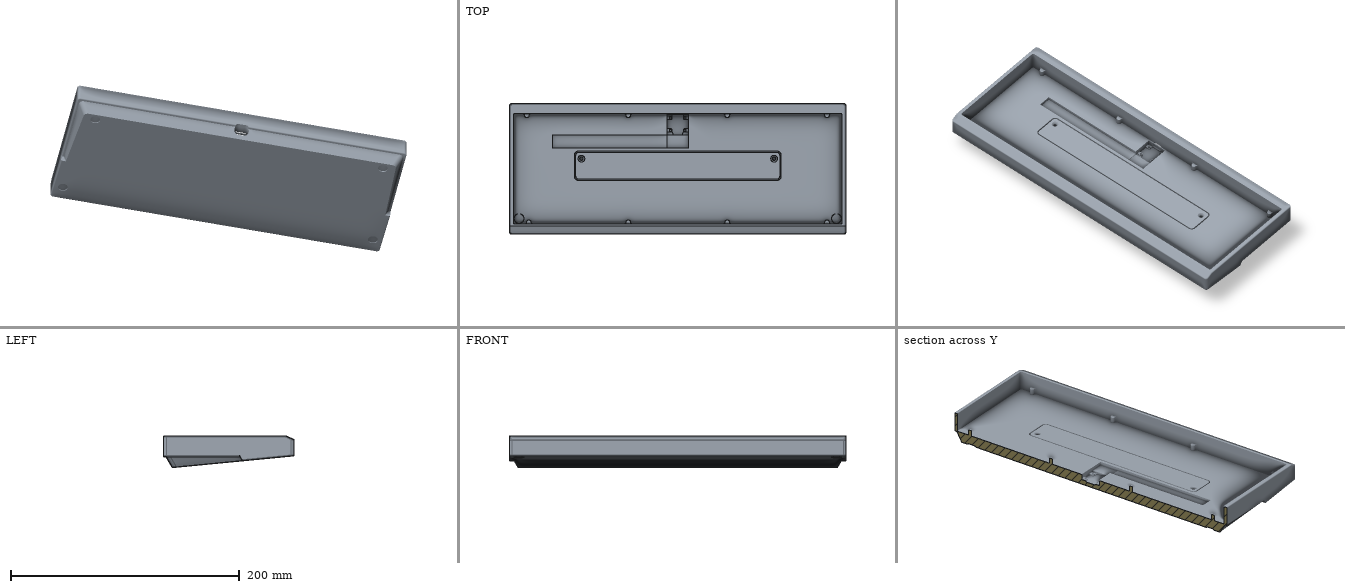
import cadquery as cq
import math


LENGTH = 294.3
WIDTH = 114.2
RIM_Z = 27.7
BACK_WALL_Z = 9.5
CORNER_RADIUS = 2.5
EDGE_RADIUS = 1.0
FRONT_BEVEL_RUN = 7.0
FRONT_BEVEL_DROP = 3.2

FOOT_TILT = 5.5
FOOT_DRAFT = 30.0
FOOT_INSET = 2.5
FOOT_CORNER_RADIUS = 4.5
UNDERCUT_FRONT_Y = -10.0
PAD_DIAMETER = 8.5
PAD_DEPTH = 1.0
PAD_Y = 43.5
FRONT_PAD_X = 138.5
BACK_PAD_X = 128.5

SIDE_WALL = 3.5
END_WALL = 8.8
CAVITY_CORNER_RADIUS = 1.5
CAVITY_DEPTH = 17.5

BOSS_RADIUS = 2.0
BOSS_FLARE = 1.5
BOSS_HEIGHT = 5.3
BACK_BOSS_XS = (-131.8, -43.3, 43.3, 130.5)
FRONT_BOSS_XS = (-130.0, -43.3, 43.3, 130.5)

POCKET_WIDTH = 18.5
POCKET_DEPTH = 6.0
POCKET_BACK_Y = 47.5
CHANNEL_LEFT_X = -109.5
CHANNEL_FRONT_Y = 18.2
CHANNEL_BACK_Y = 29.7
CHANNEL_DEPTH = 3.0
CROSSING_DEPTH = 3.5

POST_LENGTH = 4.5
POST_WIDTH = 3.0
POST_HEIGHT = 1.8
POST_HOLE_DIAMETER = 2.0
BACK_POST_Y = 44.5
FRONT_POST_Y = 33.5
LEDGE_HEIGHT = 1.0
LEDGE_FLARE = 1.0

PORT_WIDTH = 9.0
PORT_HEIGHT = 3.2
PORT_Z = 7.5
PORT_WEB = 1.0
PLUG_RECESS_WIDTH = 13.0
PLUG_RECESS_HEIGHT = 7.7

PLATE_LENGTH = 178.3
PLATE_WIDTH = 23.5
PLATE_THICKNESS = 2.0
PLATE_Y = 2.6
PLATE_RADIUS = 3.0
PLATE_GAP = 1.2
SCREW_X = 84.2
SCREW_Y = 8.8
SCREW_HOLE_DIAMETER = 3.0
SCREW_HEAD_DIAMETER = 6.0
COUNTERSINK_ANGLE = 90.0
PILOT_DEPTH = 3.0

CLEARANCE = 1.5

EDGE_TOLERANCE = 0.03

HALF_LENGTH = LENGTH / 2
HALF_WIDTH = WIDTH / 2
CAVITY_HALF_WIDTH = HALF_WIDTH - END_WALL
FOOT_BACK_Y = HALF_WIDTH - FOOT_INSET - BACK_WALL_Z * math.tan(math.radians(FOOT_DRAFT))
FLOOR_Z = RIM_Z - CAVITY_DEPTH
POCKET_FLOOR_Z = FLOOR_Z - POCKET_DEPTH
PLATE_BOTTOM_Z = FLOOR_Z - PLATE_THICKNESS
SCREW_PLACES = [(-SCREW_X, SCREW_Y), (SCREW_X, SCREW_Y)]


def bottom_z(y):
    """Height of the tilted underside at a given y."""
    return (FOOT_BACK_Y - y) * math.tan(math.radians(FOOT_TILT))


def block(x0, x1, y0, y1, z0, z1):
    """Plain box between two opposite corners."""
    return cq.Workplane("XY").box(x1 - x0, y1 - y0, z1 - z0, centered=False).translate((x0, y0, z0))


def extrude_along_x(points):
    """Solid with the given (y, z) outline, as long as the case and centred in X."""
    return cq.Workplane("YZ").polyline(points).close().extrude(HALF_LENGTH, both=True)


def make_shell():
    """Outer block with a tilted underside, a front bevel and rounded outer edges."""
    crest_y = FRONT_BEVEL_RUN - HALF_WIDTH
    bevel_z = RIM_Z - FRONT_BEVEL_DROP
    shell = extrude_along_x([
        (-HALF_WIDTH, bottom_z(-HALF_WIDTH)),
        (-HALF_WIDTH, bevel_z),
        (crest_y, RIM_Z),
        (HALF_WIDTH, RIM_Z),
        (HALF_WIDTH, bottom_z(HALF_WIDTH)),
    ])
    shell = shell.edges("|Z").fillet(CORNER_RADIUS)

    rim_zone = cq.selectors.BoxSelector(
        (-LENGTH, -WIDTH, bevel_z - CLEARANCE), (LENGTH, WIDTH, RIM_Z + CLEARANCE), boundingbox=True
    )
    outer_edges = [
        edge for edge in shell.edges(rim_zone).vals() if abs(edge.Center().y - crest_y) > EDGE_TOLERANCE
    ]
    outer_edges += shell.faces("<Y").edges("<Z").vals()
    return shell.newObject(outer_edges).fillet(EDGE_RADIUS)


def make_undercut():
    """Everything to remove below the side and back walls so that the drafted foot remains."""
    depth = BACK_WALL_Z + CLEARANCE
    outside_y = HALF_WIDTH + CLEARANCE
    removed = extrude_along_x([
        (UNDERCUT_FRONT_Y, BACK_WALL_Z),
        (UNDERCUT_FRONT_Y - depth * math.tan(math.radians(FOOT_DRAFT)), -CLEARANCE),
        (outside_y, -CLEARANCE),
        (outside_y, BACK_WALL_Z),
    ])
    foot = (
        cq.Workplane("XY", origin=(0, -FOOT_INSET, BACK_WALL_Z))
        .rect(LENGTH - 2 * FOOT_INSET, WIDTH)
        .extrude(-depth, taper=FOOT_DRAFT)
    )
    corner_zone = cq.selectors.BoxSelector(
        (-LENGTH, 0, -CLEARANCE / 2), (LENGTH, WIDTH, BACK_WALL_Z - CLEARANCE / 2)
    )
    foot = foot.edges(corner_zone).edges("not #Z").fillet(FOOT_CORNER_RADIUS)
    return removed.cut(foot)


def round_wall_bottoms(case):
    """Round the lower outer edges of the side and back walls above the undercut."""
    level_zone = cq.selectors.BoxSelector(
        (-LENGTH, -WIDTH, BACK_WALL_Z - EDGE_TOLERANCE),
        (LENGTH, WIDTH, BACK_WALL_Z + EDGE_TOLERANCE),
        boundingbox=True,
    )
    half_inset = FOOT_INSET / 2
    outer_edges = []
    for edge in case.edges(level_zone).vals():
        centre = edge.Center()
        on_skin = abs(centre.x) > HALF_LENGTH - half_inset or centre.y > HALF_WIDTH - half_inset
        if on_skin and centre.y > UNDERCUT_FRONT_Y + EDGE_TOLERANCE:
            outer_edges.append(edge)
    return case.newObject(outer_edges).fillet(EDGE_RADIUS)


def make_pad_recesses():
    """Shallow round recesses for rubber pads, square to the tilted underside."""
    recesses = cq.Workplane("XY")
    for pad_x, pad_y in ((FRONT_PAD_X, -PAD_Y), (BACK_PAD_X, PAD_Y)):
        for side in (-1, 1):
            centre = (side * pad_x, pad_y, bottom_z(pad_y))
            underside = cq.Workplane("XY", origin=centre).transformed(rotate=(-FOOT_TILT, 0, 0))
            recesses = recesses.add(underside.circle(PAD_DIAMETER / 2).extrude(PAD_DEPTH))
    return recesses.combine()


def make_cavity():
    """Open tray with rounded vertical corners."""
    cavity_half_length = HALF_LENGTH - SIDE_WALL
    cavity = block(
        -cavity_half_length, cavity_half_length,
        -CAVITY_HALF_WIDTH, CAVITY_HALF_WIDTH,
        FLOOR_Z, RIM_Z + CLEARANCE,
    )
    return cavity.edges("|Z").fillet(CAVITY_CORNER_RADIUS)


def make_boss(x, wall_side):
    """Bell-shaped boss on the front (-1) or back (+1) cavity wall: a round nose with flared sides."""
    half_base = BOSS_RADIUS + BOSS_FLARE
    flare_x = half_base - BOSS_FLARE * math.sqrt(0.5)
    flare_y = BOSS_FLARE * (1 - math.sqrt(0.5))
    boss = (
        cq.Workplane("XY", origin=(x, -CAVITY_HALF_WIDTH, FLOOR_Z))
        .moveTo(-half_base, 0)
        .threePointArc((-flare_x, flare_y), (-BOSS_RADIUS, BOSS_FLARE))
        .threePointArc((0, BOSS_FLARE + BOSS_RADIUS), (BOSS_RADIUS, BOSS_FLARE))
        .threePointArc((flare_x, flare_y), (half_base, 0))
        .close()
        .extrude(BOSS_HEIGHT)
    )
    return boss.mirror("XZ") if wall_side > 0 else boss


def make_floor_recesses():
    """Cable channel and connector pocket, with the stretch where they cross."""
    half_pocket = POCKET_WIDTH / 2
    channel = block(
        CHANNEL_LEFT_X, half_pocket, CHANNEL_FRONT_Y, CHANNEL_BACK_Y, FLOOR_Z - CHANNEL_DEPTH, FLOOR_Z
    )
    crossing = block(
        -half_pocket, half_pocket, CHANNEL_FRONT_Y, CHANNEL_BACK_Y, FLOOR_Z - CROSSING_DEPTH, FLOOR_Z
    )
    pocket = block(
        -half_pocket, half_pocket, CHANNEL_BACK_Y, POCKET_BACK_Y, POCKET_FLOOR_Z, FLOOR_Z
    )
    return channel.union(crossing).union(pocket)


def make_post(side, y):
    """Drilled round-nosed post reaching in from the left (-1) or right (+1) side of the pocket."""
    radius = POST_WIDTH / 2
    wall_x = side * POCKET_WIDTH / 2
    nose_x = wall_x - side * (POST_LENGTH - radius)
    floor = cq.Workplane("XY", origin=(0, y, POCKET_FLOOR_Z))
    rib = floor.center((wall_x + nose_x) / 2, 0).rect(POST_LENGTH - radius, POST_WIDTH).extrude(POST_HEIGHT)
    nose = floor.center(nose_x, 0).circle(radius).extrude(POST_HEIGHT)
    hole = floor.center(nose_x, 0).circle(POST_HOLE_DIAMETER / 2).extrude(POST_HEIGHT)
    return rib.union(nose).cut(hole)


def make_ledge(side, post_y, end_y, flare):
    """Low ledge between a post and an end of the pocket, wider by the flare at that end."""
    wall_x = side * POCKET_WIDTH / 2
    return (
        cq.Workplane("XY", origin=(0, 0, POCKET_FLOOR_Z))
        .polyline([
            (wall_x, post_y),
            (wall_x - side * POST_LENGTH, post_y),
            (wall_x - side * (POST_LENGTH + flare), end_y),
            (wall_x, end_y),
        ])
        .close()
        .extrude(LEDGE_HEIGHT)
    )


def make_port():
    """Connector slot through a thin web of the back wall, with a wider plug recess outside it."""
    wall = cq.Workplane("XZ", origin=(0, POCKET_BACK_Y, PORT_Z))
    slot = wall.slot2D(PORT_WIDTH, PORT_HEIGHT).extrude(-END_WALL)
    recess = (
        wall.workplane(offset=-PORT_WEB)
        .slot2D(PLUG_RECESS_WIDTH, PLUG_RECESS_HEIGHT)
        .extrude(-END_WALL)
    )
    return slot.union(recess)


def make_plate_blank(growth, thickness):
    """Rounded plate outline, grown on every side, standing up from the plate's underside."""
    blank = (
        cq.Workplane("XY", origin=(0, PLATE_Y, PLATE_BOTTOM_Z))
        .rect(PLATE_LENGTH + 2 * growth, PLATE_WIDTH + 2 * growth)
        .extrude(thickness)
    )
    return blank.edges("|Z").fillet(PLATE_RADIUS + growth)


def make_pilot_holes():
    """Blind screw holes below the plate."""
    return (
        cq.Workplane("XY", origin=(0, 0, PLATE_BOTTOM_Z))
        .pushPoints(SCREW_PLACES)
        .circle(SCREW_HOLE_DIAMETER / 2)
        .extrude(-PILOT_DEPTH)
    )


def make_case():
    """Complete case as one solid."""
    case = round_wall_bottoms(make_shell().cut(make_undercut()))
    case = case.cut(make_pad_recesses()).cut(make_cavity())
    for x in BACK_BOSS_XS:
        case = case.union(make_boss(x, 1))
    for x in FRONT_BOSS_XS:
        case = case.union(make_boss(x, -1))
    case = case.cut(make_floor_recesses()).cut(make_port())
    for side in (-1, 1):
        case = case.union(make_post(side, BACK_POST_Y))
        case = case.union(make_post(side, FRONT_POST_Y))
        case = case.union(make_ledge(side, BACK_POST_Y + POST_WIDTH / 2, POCKET_BACK_Y, 0))
        case = case.union(make_ledge(side, FRONT_POST_Y - POST_WIDTH / 2, CHANNEL_BACK_Y, LEDGE_FLARE))
    return case.cut(make_plate_blank(PLATE_GAP, PLATE_THICKNESS)).cut(make_pilot_holes())


def make_plate():
    """Name plate, flush with the cavity floor, with two countersunk screw holes."""
    return (
        make_plate_blank(0, PLATE_THICKNESS)
        .faces(">Z")
        .workplane(origin=(0, 0, FLOOR_Z))
        .pushPoints(SCREW_PLACES)
        .cskHole(SCREW_HOLE_DIAMETER, SCREW_HEAD_DIAMETER, COUNTERSINK_ANGLE)
    )


case = make_case()
plate = make_plate()
result = cq.Compound.makeCompound([case.solids().val(), plate.solids().val()])